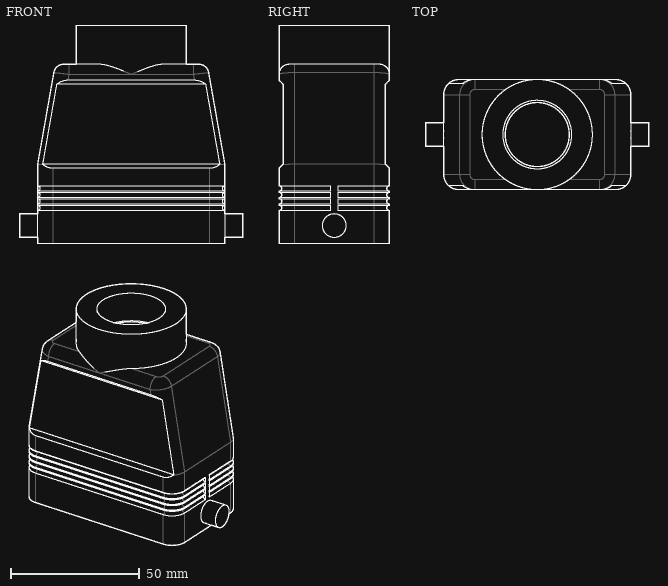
import math

import cadquery as cq

HOOD_LENGTH = 73.0
HOOD_WIDTH = 43.0
HOOD_HEIGHT = 69.95
BASE_HEIGHT = 31.0
END_LEAN_ANGLE = 10
CORNER_RADIUS = 6.0
TOP_EDGE_RADIUS = 4.0

PANEL_DEPTH = 1.6
PANEL_FLOOR_BOTTOM = BASE_HEIGHT
PANEL_FLOOR_TOP = 62.1

COLLAR_DIAMETER = HOOD_WIDTH
COLLAR_TOP = 85.0
COLLAR_BOTTOM = HOOD_HEIGHT - TOP_EDGE_RADIUS
BORE_DIAMETER = 24.9
ENTRY_DIAMETER = 26.8
ENTRY_DEPTH = 12.1

GROOVE_COUNT = 4
GROOVE_DIAMETER = 2.0
GROOVE_PITCH = 2.5
GROOVE_MIDDLE_HEIGHT = 17.75
GROOVE_GAP = 2.8

PIN_SPAN = 87
PIN_DIAMETER = 9.2
PIN_HEIGHT = 7.05


def make_cylinder(diameter, bottom, top):
    """Upright cylinder on the hood's axis."""
    return cq.Workplane("XY", origin=(0, 0, bottom)).circle(diameter / 2).extrude(top - bottom)


def make_hood():
    """Solid hood body with rounded corners and a rounded top edge."""
    half_length = HOOD_LENGTH / 2
    lean = (HOOD_HEIGHT - BASE_HEIGHT) * math.tan(math.radians(END_LEAN_ANGLE))
    half_top = half_length - lean
    outline = [
        (-half_length, 0),
        (half_length, 0),
        (half_length, BASE_HEIGHT),
        (half_top, HOOD_HEIGHT),
        (-half_top, HOOD_HEIGHT),
        (-half_length, BASE_HEIGHT),
    ]
    block = cq.Workplane("XZ").polyline(outline).close().extrude(HOOD_WIDTH / 2, both=True)
    corner_edges = block.edges("not(#Z or |Y)")
    rounded = corner_edges.fillet(CORNER_RADIUS)
    return rounded.faces(">Z").edges().fillet(TOP_EDGE_RADIUS)


def make_side_panels():
    """Material removed from both long sides to sink the panels."""
    side = HOOD_WIDTH / 2
    floor = side - PANEL_DEPTH
    profile = [
        (side, PANEL_FLOOR_BOTTOM - PANEL_DEPTH),
        (side, PANEL_FLOOR_TOP + PANEL_DEPTH),
        (floor, PANEL_FLOOR_TOP),
        (floor, PANEL_FLOOR_BOTTOM),
    ]
    panel = cq.Workplane("YZ").polyline(profile).close().extrude(HOOD_LENGTH / 2, both=True)
    return panel.union(panel.mirror("XZ"))


def make_groove(height):
    """Round bar following the base outline, with a gap at the middle of each end."""
    base_outline = (
        cq.Workplane("XY", origin=(0, 0, height))
        .rect(HOOD_LENGTH, HOOD_WIDTH)
        .extrude(GROOVE_DIAMETER)
        .edges("|Z")
        .fillet(CORNER_RADIUS)
        .faces("<Z")
        .wires()
    )
    ring = (
        cq.Workplane("YZ", origin=(0, HOOD_WIDTH / 2, height))
        .circle(GROOVE_DIAMETER / 2)
        .sweep(base_outline)
    )
    gap_height = 2 * GROOVE_DIAMETER
    gap = cq.Workplane("XY", origin=(0, 0, height)).box(PIN_SPAN, GROOVE_GAP, gap_height)
    return ring.cut(gap)


def make_pins():
    """One bar through the hood forms the pins on both ends."""
    return (
        cq.Workplane("YZ", origin=(0, 0, PIN_HEIGHT))
        .circle(PIN_DIAMETER / 2)
        .extrude(PIN_SPAN / 2, both=True)
    )


hood = make_hood().cut(make_side_panels())

lowest_groove = GROOVE_MIDDLE_HEIGHT - GROOVE_PITCH * (GROOVE_COUNT - 1) / 2
for index in range(GROOVE_COUNT):
    hood = hood.cut(make_groove(lowest_groove + index * GROOVE_PITCH))

collar = make_cylinder(COLLAR_DIAMETER, COLLAR_BOTTOM, COLLAR_TOP)
bore = make_cylinder(BORE_DIAMETER, 0, COLLAR_TOP)
entry = make_cylinder(ENTRY_DIAMETER, COLLAR_TOP - ENTRY_DEPTH, COLLAR_TOP)

result = hood.union(collar).union(make_pins()).cut(bore).cut(entry)